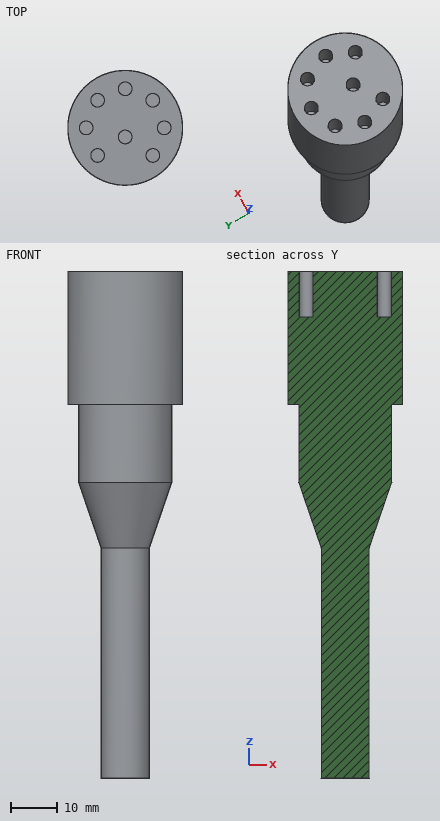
import cadquery as cq
import math

total_length = 110.0

head_diameter = 25.0
head_length = 28.9

neck_diameter = 20.2
neck_length = 16.8

cable_diameter = 10.5
cable_length = 49.9
taper_length = total_length - head_length - neck_length - cable_length

hole_diameter = 3.0
hole_depth = 9.9
hole_circle_radius = 8.5
hole_pitch_angle = 45
ring_start_angle = -45
ring_hole_count = 7
inner_hole_offset = 2.0


def make_body():
    """Revolve the stepped and tapered outline about the Z axis."""
    taper_top = cable_length + taper_length
    head_bottom = total_length - head_length
    outline = (
        cq.Workplane("XZ")
        .moveTo(0, 0)
        .lineTo(cable_diameter / 2, 0)
        .lineTo(cable_diameter / 2, cable_length)
        .lineTo(neck_diameter / 2, taper_top)
        .lineTo(neck_diameter / 2, head_bottom)
        .lineTo(head_diameter / 2, head_bottom)
        .lineTo(head_diameter / 2, total_length)
        .lineTo(0, total_length)
        .close()
    )
    return outline.revolve(360, (0, 0, 0), (0, 1, 0))


def contact_positions():
    """Ring of holes with the -Y place left out, plus one hole set near the axis on that side."""
    positions = [(0, -inner_hole_offset)]
    for index in range(ring_hole_count):
        angle = math.radians(ring_start_angle + index * hole_pitch_angle)
        positions.append((hole_circle_radius * math.cos(angle), hole_circle_radius * math.sin(angle)))
    return positions


def make_contact_holes():
    """Blind cylinders reaching down from the top face."""
    return (
        cq.Workplane("XY")
        .workplane(offset=total_length - hole_depth)
        .pushPoints(contact_positions())
        .circle(hole_diameter / 2)
        .extrude(hole_depth)
    )


result = make_body().cut(make_contact_holes())